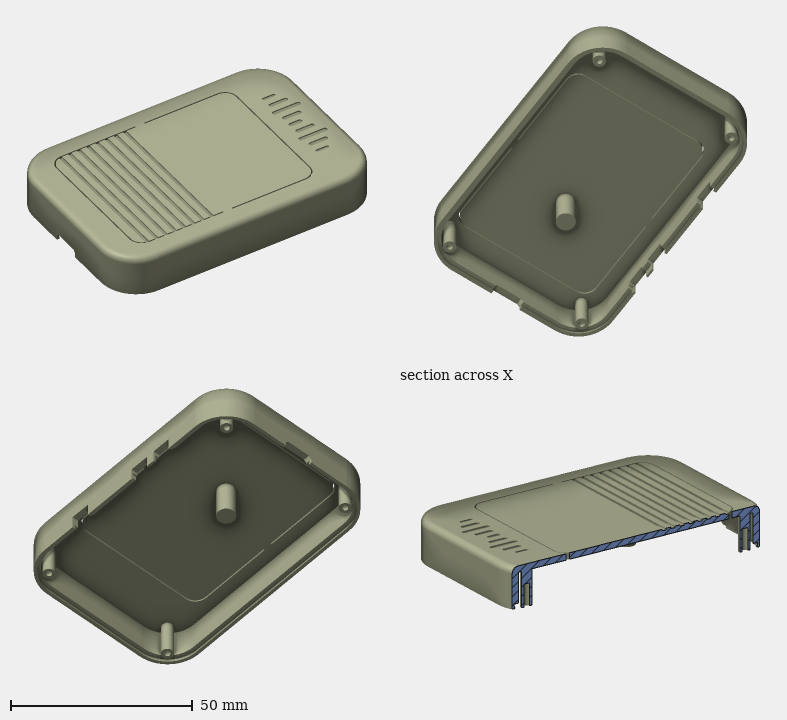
import cadquery as cq

length = 84.7
width = 57.2
height = 12.5
corner_radius = 11.5
top_fillet = 1.95
wall = 2.0
under_plate = height - wall
root_z = height - wall / 2

lip_height = 1.35
lip_foot_thickness = 1.0
lip_top_thickness = 0.635

post_diameter = 3.6
post_hole_diameter = 1.8
post_proud = 0.25
post_hole_depth = 6.8
post_inset_x = 6.6
post_inset_y = 6.0

panel_width = 45.0
panel_top = 25.1
panel_bottom = -34.0
panel_radius = 4.0
slot_gap = 0.4
hinge_top = -2.9
hinge_bottom = -5.8

plunger_diameter = 5.5
plunger_x = 0.1
plunger_y = -11.9
plunger_end = 0.25

groove_count = 8
groove_width = 1.1
groove_depth = 0.4
first_groove_y = -9.4
last_groove_y = -30.4
groove_pitch = (first_groove_y - last_groove_y) / (groove_count - 1)

vent_pitch = 3.4
vent_depth = 0.4
vents = [
    (1.4, 30.1, 34.3),
    (1.4, 30.1, 36.2),
    (1.4, 29.0, 38.1),
    (1.4, 30.1, 36.2),
    (1.0, 30.1, 34.3),
]

side_openings = [(16.2, 6.35, 4.1), (-7.9, 6.3, 3.8), (-16.8, 6.0, 3.8)]

relief_top = 2.7
relief_skin = lip_top_thickness
relief_margin = 0.5

cable_x = -0.7
cable_width = 9.3
cable_height = 2.2
cable_chamfer = 0.85


def rounded_block(size_x, size_y, radius, z_bottom, z_top):
    """Block centred on the Z axis with rounded vertical edges."""
    block = cq.Workplane("XY").workplane(offset=z_bottom).rect(size_x, size_y)
    return block.extrude(z_top - z_bottom).edges("|Z").fillet(radius)


def inset_outline(inset, z):
    """Shell outline moved inwards by an inset, at height z."""
    outline = cq.Sketch().rect(width - 2 * inset, length - 2 * inset)
    return outline.vertices().fillet(corner_radius - inset).moved(cq.Location(cq.Vector(0, 0, z)))


def make_shell():
    outer = rounded_block(width, length, corner_radius, 0, height)
    outer = outer.faces(">Z").edges().fillet(top_fillet)
    cavity = rounded_block(
        width - 2 * wall, length - 2 * wall, corner_radius - wall, 0, under_plate
    )
    step = (
        cq.Workplane("XY")
        .placeSketch(
            inset_outline(lip_foot_thickness, 0),
            inset_outline(lip_top_thickness, lip_height),
        )
        .loft()
    )
    return outer.cut(cavity).cut(step)


def cylinder(diameter, z_bottom, z_top, points):
    base = cq.Workplane("XY").workplane(offset=z_bottom)
    return base.pushPoints(points).circle(diameter / 2).extrude(z_top - z_bottom)


def add_posts(body):
    post_x = width / 2 - post_inset_x
    post_y = length / 2 - post_inset_y
    points = [(sx * post_x, sy * post_y) for sx in (-1, 1) for sy in (-1, 1)]
    posts = cylinder(post_diameter, -post_proud, root_z, points)
    holes = cylinder(post_hole_diameter, -post_proud, post_hole_depth - post_proud, points)
    return body.union(posts).cut(holes)


def panel_block(inset, z_bottom):
    """Block filling the panel outline moved inwards by an inset, up to the top face."""
    block = rounded_block(
        panel_width - 2 * inset,
        panel_top - panel_bottom - 2 * inset,
        panel_radius - inset,
        z_bottom,
        height,
    )
    return block.translate((0, (panel_top + panel_bottom) / 2, 0))


def panel_slots():
    ring = panel_block(0, under_plate).cut(panel_block(slot_gap, under_plate))
    hinge = (
        cq.Workplane("XY")
        .box(width, hinge_top - hinge_bottom, height, centered=(True, True, False))
        .translate((0, (hinge_top + hinge_bottom) / 2, 0))
    )
    return ring.cut(hinge)


def grip_grooves():
    points = [(0, first_groove_y - i * groove_pitch) for i in range(groove_count)]
    strips = (
        cq.Workplane("XY")
        .workplane(offset=height - groove_depth)
        .pushPoints(points)
        .rect(panel_width, groove_width)
        .extrude(groove_depth)
    )
    return strips.intersect(panel_block(slot_gap, under_plate))


def vent_pockets():
    floor = cq.Workplane("XY").workplane(offset=height - vent_depth)
    pockets = cq.Workplane("XY")
    for i, (vent_width, low, high) in enumerate(vents):
        mirrored_x = {i * vent_pitch, -i * vent_pitch}
        centres = [(x, (low + high) / 2) for x in mirrored_x]
        slots = floor.pushPoints(centres).slot2D(high - low, vent_width, 90)
        pockets = pockets.union(slots.extrude(vent_depth))
    return pockets


def side_cuts(body):
    for y, opening_width, opening_height in side_openings:
        opening = (
            cq.Workplane("XY")
            .box(wall, opening_width, opening_height, centered=(False, True, False))
            .translate((-width / 2, y, 0))
        )
        body = body.cut(opening)
    (upper_y, upper_width, _), (lower_y, lower_width, _) = side_openings[1:]
    relief_high = upper_y + upper_width / 2 + relief_margin
    relief_low = lower_y - lower_width / 2 - relief_margin
    relief = (
        cq.Workplane("XY")
        .box(wall - relief_skin, relief_high - relief_low, relief_top, centered=(False, True, False))
        .translate((relief_skin - width / 2, (relief_high + relief_low) / 2, 0))
    )
    return body.cut(relief)


def cable_opening():
    return (
        cq.Workplane("XY")
        .box(cable_width, wall, cable_height, centered=(True, False, False))
        .edges("|Y and >Z")
        .chamfer(cable_chamfer)
        .translate((cable_x, -length / 2, 0))
    )


body = add_posts(make_shell())
body = side_cuts(body).cut(cable_opening())
plunger = cylinder(plunger_diameter, plunger_end, root_z, [(plunger_x, plunger_y)])
body = body.union(plunger)
result = body.cut(panel_slots()).cut(grip_grooves()).cut(vent_pockets())